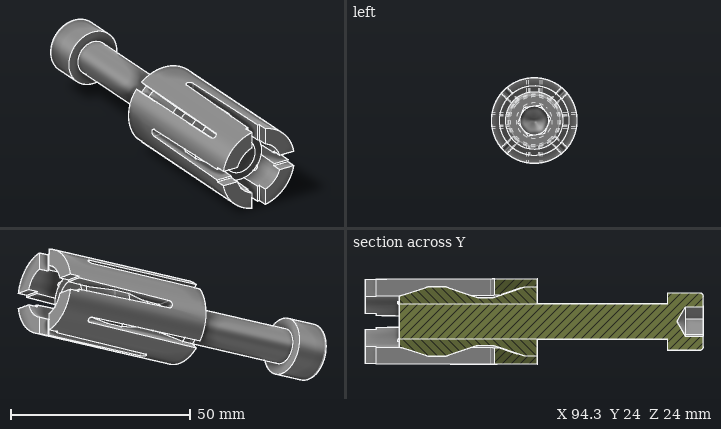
import cadquery as cq
import math

total_length = 94.3
sleeve_length = 48.0
sleeve_start = total_length - sleeve_length

shank_radius = 5.0
head_radius = 8.0
head_length = 10.0
head_edge_radius = 0.9
socket_across_flats = 8.0
socket_depth = 5.0
socket_point_angle = 120.0
socket_turn = -8.0

land_radius = 9.7
neck_radius = 6.7
tail_radius = 7.2
front_land_end = 3.6
front_cone_end = 12.4
neck_end = 16.6
rear_cone_end = 25.5
rear_land_end = 30.6
spreader_length = 38.6

sleeve_radius = 12.0
bore_radius = 7.4
slot_count = 4
front_slot_length = 38.95
front_slot_end_radius = 0.85
front_slot_wall_angle = 0.5
rear_slot_length = 36.0
rear_slot_end_radius = 1.0
rear_slot_wall_angle = 1.1
notch_width = 4.4
notch_length = 3.0


def revolve_about_x(points):
    """Solid of revolution about X from (x, radius) points of a half profile."""
    return cq.Workplane("XY").polyline(points).close().revolve(360, (0, 0, 0), (1, 0, 0))


def cylinder_along_x(start, length, radius):
    return cq.Workplane("YZ").workplane(offset=start).circle(radius).extrude(length)


def make_socket():
    """Hexagonal recess with a drill-point cone at its bottom."""
    corner_diameter = socket_across_flats / math.cos(math.radians(30))
    cone_radius = socket_across_flats / 2
    cone_depth = cone_radius / math.tan(math.radians(socket_point_angle / 2))
    hexagon = cq.Workplane("YZ").polygon(6, corner_diameter).extrude(socket_depth)
    point = revolve_about_x(
        [(socket_depth, 0), (socket_depth, cone_radius), (socket_depth + cone_depth, 0)]
    )
    return hexagon.union(point).rotate((0, 0, 0), (1, 0, 0), socket_turn)


def make_screw():
    """Socket head screw whose shank ends flush with the spreader tail."""
    head = cylinder_along_x(0, head_length, head_radius).faces("<X").edges().fillet(head_edge_radius)
    shank = cylinder_along_x(head_length, sleeve_start + spreader_length - head_length, shank_radius)
    return head.union(shank).cut(make_socket())


def make_spreader_blank():
    """Double-cone envelope, without the hole for the screw."""
    stations = [
        (0, 0),
        (0, land_radius),
        (front_land_end, land_radius),
        (front_cone_end, neck_radius),
        (neck_end, neck_radius),
        (rear_cone_end, land_radius),
        (rear_land_end, land_radius),
        (spreader_length, tail_radius),
        (spreader_length, 0),
    ]
    return revolve_about_x([(sleeve_start + x, radius) for x, radius in stations])


def make_spreader():
    """Double cone with a through hole that the screw shank fills."""
    return make_spreader_blank().cut(cylinder_along_x(sleeve_start, spreader_length, shank_radius))


def make_slot(mouth_x, closed_end_x, end_radius, wall_angle):
    """Slot through the +Z side of the sleeve wall, round at the closed end and widening to the mouth."""
    direction = math.copysign(1, mouth_x - closed_end_x)
    side = math.radians(wall_angle)
    center_x = closed_end_x + direction * end_radius
    tangent_x = center_x - direction * end_radius * math.sin(side)
    tangent_y = end_radius * math.cos(side)
    mouth_y = tangent_y + abs(mouth_x - tangent_x) * math.tan(side)
    return (
        cq.Workplane("XY")
        .moveTo(mouth_x, mouth_y)
        .lineTo(tangent_x, tangent_y)
        .threePointArc((closed_end_x, 0), (tangent_x, -tangent_y))
        .lineTo(mouth_x, -mouth_y)
        .close()
        .extrude(sleeve_radius)
    )


def make_notch():
    """Wider rectangular mouth of the rear slot on the +Z side."""
    notch = cq.Workplane("XY").box(notch_length, notch_width, sleeve_radius, centered=(False, True, False))
    return notch.translate((total_length - notch_length, 0, 0))


def make_sleeve():
    """Tube bored to seat the spreader, slotted alternately from both ends."""
    sleeve = cylinder_along_x(sleeve_start, sleeve_length, sleeve_radius)
    sleeve = sleeve.cut(make_spreader_blank())
    sleeve = sleeve.cut(cylinder_along_x(sleeve_start, sleeve_length, bore_radius))
    rear_slot = make_slot(
        total_length, total_length - rear_slot_length, rear_slot_end_radius, rear_slot_wall_angle
    ).union(make_notch())
    front_slot = make_slot(
        sleeve_start, sleeve_start + front_slot_length, front_slot_end_radius, front_slot_wall_angle
    )
    pitch = 360 / slot_count
    for i in range(slot_count):
        angle = i * pitch
        sleeve = sleeve.cut(rear_slot.rotate((0, 0, 0), (1, 0, 0), angle))
        sleeve = sleeve.cut(front_slot.rotate((0, 0, 0), (1, 0, 0), angle + pitch / 2))
    return sleeve


screw = make_screw()
spreader = make_spreader()
sleeve = make_sleeve()

result = cq.Compound.makeCompound([screw.val(), spreader.val(), sleeve.val()])